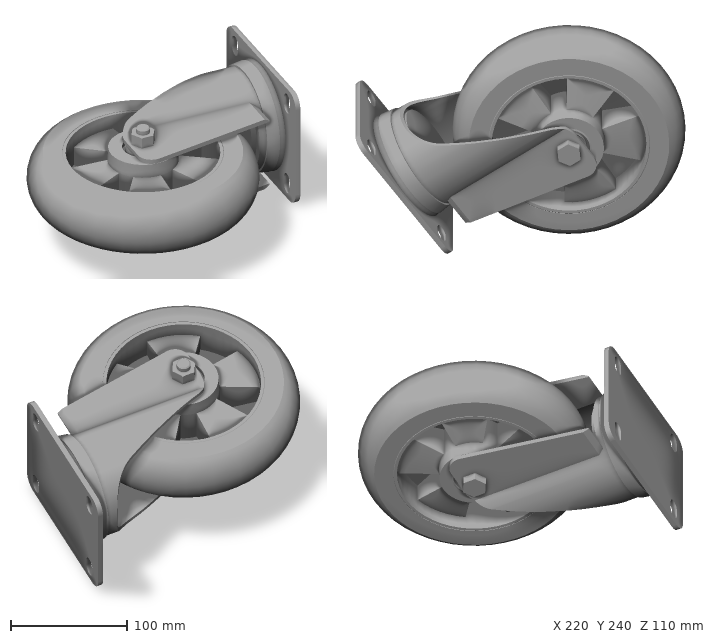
import cadquery as cq
import math


plate_length = 140.0
plate_width = 110.0
plate_top = 140.0
plate_thickness = 4.5
plate_corner_radius = 12.0
slot_length = 18.7
slot_width = 11.5
slot_x = 52.5
slot_z = 40.0
swivel_x = -50.0
race_height = 5.0
race_wide_radius = 49.7
race_narrow_radius = 48.0
plate_bottom = plate_top - plate_thickness
race_bottom = plate_bottom - race_height

cup_height = 11.3
cup_top_radius = 49.5
cup_bottom_radius = 47.8
fork_radius = 46.0
fork_wall = 3.0
arm_thickness = 4.0
floor_y = 112.5
floor_boss_radius = 39.8
floor_boss_height = 4.8
arm_outer_z = 35.0
arm_inner_z = arm_outer_z - arm_thickness
arm_top = 115.5
arm_top_right_x = 10.0
arm_right_slope = 0.18
arm_end_y = -13.2
arm_bevel_height = 5.0
arm_bevel_depth = 2.9
mouth_start = (-96.0, 110.2)
mouth_middle = (-80.5, 99.0)
mouth_end = (-69.4, 83.3)
mouth_slope = 0.475
left_end_radius = 25.7
right_end_radius = 12.5
cup_bottom = race_bottom - cup_height

tyre_radius = 100.0
tyre_side_radius = 86.2
tyre_half_width = 25.0
rim_radius = 69.5
rim_edge_break = 0.5
rim_inner_radius = 66.5
hub_half_length = 30.2
hub_end_radius = 30.0
hub_root_radius = 30.7
web_hub_z = 17.8
web_rim_z = 11.3
web_thickness = 5.0
spoke_count = 5
spoke_first_angle = -90.0
wall_half_thickness = 2.6

bearing_radius = 23.5
bearing_length = 14.0
lip_outer_radius = 19.5
lip_inner_radius = 18.0
lip_height = 0.5
groove_depth = 4.0
inner_ring_radius = 15.4
inner_bevel_radius = 14.2
inner_bevel_depth = 1.2
hub_bore_radius = 16.0

bolt_radius = 6.0
bolt_tip_z = 50.2
bolt_tip_chamfer = 1.0
hex_flats = 19.0
corner_radius = hex_flats / 2 / math.cos(math.pi / 6)
head_height = 7.5
nut_height = 10.3
nut_top_radius = 10.0
nut_chamfer_height = 0.5


def revolved_about_z(points):
    """Full turn of a closed (radius, z) outline about the wheel axis."""
    return cq.Workplane("XZ").polyline(points).close().revolve(360, (0, 0, 0), (0, 1, 0))


def revolved_about_swivel(points):
    """Full turn of a closed (radius, y) outline about the swivel axis."""
    turned = cq.Workplane("XY").polyline(points).close().revolve(360, (0, 0, 0), (0, 1, 0))
    return turned.translate((swivel_x, 0, 0))


def cylinder_along_y(radius, bottom, top):
    """Cylinder on the swivel axis between two heights."""
    return revolved_about_swivel([(0, bottom), (radius, bottom), (radius, top), (0, top)])


def box_between(x_range, y_range, z_half):
    """Box centred on z = 0 between two X and two Y limits."""
    length = x_range[1] - x_range[0]
    height = y_range[1] - y_range[0]
    box = cq.Workplane("XY").box(length, height, 2 * z_half, centered=(False, False, True))
    return box.translate((x_range[0], y_range[0], 0))


def hexagon(bottom, height):
    """Hexagonal prism along Z with two corners on the Y axis."""
    prism = cq.Workplane("XY").polygon(6, 2 * corner_radius).extrude(height)
    return prism.rotate((0, 0, 0), (0, 0, 1), 90).translate((0, 0, bottom))


def make_plate():
    """Slotted top plate with the tapered race below it."""
    plate = (
        cq.Workplane("XZ", origin=(swivel_x, plate_top, 0))
        .rect(plate_length, plate_width)
        .extrude(plate_thickness)
        .edges("|Y")
        .fillet(plate_corner_radius)
        .faces(">Y")
        .workplane(centerOption="CenterOfBoundBox")
        .rect(2 * slot_x, 2 * slot_z, forConstruction=True)
        .vertices()
        .slot2D(slot_length, slot_width, 90)
        .cutThruAll()
    )
    race = revolved_about_swivel([
        (0, race_bottom),
        (race_narrow_radius, race_bottom),
        (race_wide_radius, plate_bottom),
        (0, plate_bottom),
    ])
    return plate.union(race)


def fork_side_outline():
    """Outline of the fork in the XY plane, extruded across its whole width."""
    left_corner_x = mouth_end[0] + mouth_slope * (mouth_end[1] - arm_end_y)
    right_corner_x = arm_top_right_x + arm_right_slope * (arm_top - arm_end_y)
    outline = (
        cq.Workplane("XY", origin=(0, 0, -fork_radius))
        .moveTo(mouth_start[0], cup_bottom)
        .lineTo(*mouth_start)
        .threePointArc(mouth_middle, mouth_end)
        .lineTo(left_corner_x, arm_end_y)
        .lineTo(right_corner_x, arm_end_y)
        .lineTo(arm_top_right_x, arm_top)
        .lineTo(arm_top_right_x, cup_bottom)
        .close()
        .extrude(2 * fork_radius)
    )
    left_corner = cq.selectors.NearestToPointSelector((left_corner_x, arm_end_y, 0))
    right_corner = cq.selectors.NearestToPointSelector((right_corner_x, arm_end_y, 0))
    outline = outline.edges("|Z").edges(left_corner).fillet(left_end_radius)
    return outline.edges("|Z").edges(right_corner).fillet(right_end_radius)


def make_fork():
    """Round fork body that runs into two flat arms, with the cup on top."""
    block_right_x = arm_top_right_x + fork_radius
    arm_section = [
        (arm_end_y, arm_outer_z),
        (arm_top - arm_bevel_height, arm_outer_z),
        (arm_top, arm_outer_z - arm_bevel_depth),
        (arm_top, arm_bevel_depth - arm_outer_z),
        (arm_top - arm_bevel_height, -arm_outer_z),
        (arm_end_y, -arm_outer_z),
    ]
    arms = (
        cq.Workplane("YZ", origin=(swivel_x, 0, 0))
        .polyline(arm_section)
        .close()
        .extrude(block_right_x - swivel_x)
    )
    body = cylinder_along_y(fork_radius, arm_end_y, cup_bottom).union(arms)
    body = body.intersect(fork_side_outline())

    cavity_radius = fork_radius - fork_wall
    round_cavity = cylinder_along_y(cavity_radius, arm_end_y, floor_y)
    arm_gap = box_between((swivel_x, block_right_x), (arm_end_y, arm_top), arm_inner_z)
    crown = cylinder_along_y(fork_radius, floor_y, cup_bottom)
    body = body.cut(round_cavity).cut(arm_gap.cut(crown))

    cup = revolved_about_swivel([
        (0, cup_bottom),
        (cup_bottom_radius, cup_bottom),
        (cup_top_radius, race_bottom),
        (0, race_bottom),
    ])
    bolt_hole = cq.Workplane("XY").circle(bolt_radius).extrude(arm_outer_z, both=True)
    floor_boss = cylinder_along_y(floor_boss_radius, floor_y - floor_boss_height, floor_y)
    return body.union(cup).union(floor_boss).cut(bolt_hole)


def make_tyre():
    """Tyre with flat sides and a rounded tread."""
    return (
        cq.Workplane("XZ")
        .moveTo(rim_radius, -tyre_half_width)
        .lineTo(tyre_side_radius, -tyre_half_width)
        .threePointArc((tyre_radius, 0), (tyre_side_radius, tyre_half_width))
        .lineTo(rim_radius, tyre_half_width)
        .close()
        .revolve(360, (0, 0, 0), (0, 1, 0))
    )


def pocket_sectors(first_angle):
    """Wedges between the spokes, narrowed so that walls stay along their edges."""
    half_angle = math.pi / (2 * spoke_count)
    apex = wall_half_thickness / math.sin(half_angle)
    half_width = (rim_radius - apex) * math.tan(half_angle)
    wedge = (
        cq.Workplane("XY", origin=(0, 0, -tyre_half_width))
        .polyline([(apex, 0), (rim_radius, half_width), (rim_radius, -half_width)])
        .close()
        .extrude(2 * tyre_half_width)
    )
    sectors = cq.Workplane("XY")
    for index in range(spoke_count):
        angle = first_angle + index * 360 / spoke_count
        sectors = sectors.union(wedge.rotate((0, 0, 0), (0, 0, 1), angle))
    return sectors


def web_pockets(side, first_angle):
    """Pockets open towards +Z (side 1) or -Z (side -1) with a floor that rises to the rim."""
    ring = revolved_about_z([
        (hub_root_radius, side * (web_thickness - web_hub_z)),
        (rim_inner_radius, side * (web_thickness - web_rim_z)),
        (rim_inner_radius, side * tyre_half_width),
        (hub_root_radius, side * web_hub_z),
    ])
    return ring.intersect(pocket_sectors(first_angle))


def make_wheel():
    """Rim, hub and a web folded into spokes that alternate between the two sides."""
    upper_outline = [
        (hub_end_radius, hub_half_length),
        (hub_root_radius, web_hub_z),
        (rim_inner_radius, web_rim_z),
        (rim_inner_radius, tyre_half_width),
        (rim_radius - rim_edge_break, tyre_half_width),
        (rim_radius, tyre_half_width - rim_edge_break),
    ]
    lower_outline = [(radius, -z) for radius, z in reversed(upper_outline)]
    bearing_seat = hub_half_length - bearing_length
    bore = [
        (bearing_radius, -hub_half_length),
        (bearing_radius, -bearing_seat),
        (hub_bore_radius, -bearing_seat),
        (hub_bore_radius, bearing_seat),
        (bearing_radius, bearing_seat),
        (bearing_radius, hub_half_length),
    ]
    wheel = revolved_about_z(upper_outline + lower_outline + bore)
    half_pitch = 180 / spoke_count
    wheel = wheel.cut(web_pockets(1, spoke_first_angle + half_pitch))
    return wheel.cut(web_pockets(-1, spoke_first_angle))


def make_bearing(side):
    """Bearing flush with the hub, its grooved face and inner ring turned outwards."""
    groove_floor = hub_half_length - groove_depth
    outline = [
        (bolt_radius, hub_half_length - bearing_length),
        (bearing_radius, hub_half_length - bearing_length),
        (bearing_radius, hub_half_length),
        (lip_outer_radius, hub_half_length),
        (lip_inner_radius, hub_half_length + lip_height),
        (lip_inner_radius, groove_floor),
        (inner_ring_radius, groove_floor),
        (inner_ring_radius, arm_inner_z),
        (inner_bevel_radius, arm_inner_z - inner_bevel_depth),
        (bolt_radius, arm_inner_z - inner_bevel_depth),
    ]
    return revolved_about_z([(radius, side * z) for radius, z in outline])


def make_bolt():
    """Hexagon bolt with its head under the lower arm."""
    bolt = (
        cq.Workplane("XY", origin=(0, 0, -arm_outer_z))
        .circle(bolt_radius)
        .extrude(arm_outer_z + bolt_tip_z)
        .faces(">Z")
        .chamfer(bolt_tip_chamfer)
    )
    return bolt.union(hexagon(-arm_outer_z - head_height, head_height))


def make_nut():
    """Hexagon nut on the upper arm, its top corners chamfered by a cone."""
    nut_top = arm_outer_z + nut_height
    envelope = revolved_about_z([
        (bolt_radius, arm_outer_z),
        (corner_radius, arm_outer_z),
        (corner_radius, nut_top - nut_chamfer_height),
        (nut_top_radius, nut_top),
        (bolt_radius, nut_top),
    ])
    return hexagon(arm_outer_z, nut_height).intersect(envelope)


plate = make_plate()
fork = make_fork()
tyre = make_tyre()
wheel = make_wheel()
bearings = [make_bearing(side) for side in (1, -1)]
bolt = make_bolt()
nut = make_nut()

result = cq.Compound.makeCompound([
    plate.val(),
    fork.val(),
    tyre.val(),
    wheel.val(),
    *[bearing.val() for bearing in bearings],
    bolt.val(),
    nut.val(),
])